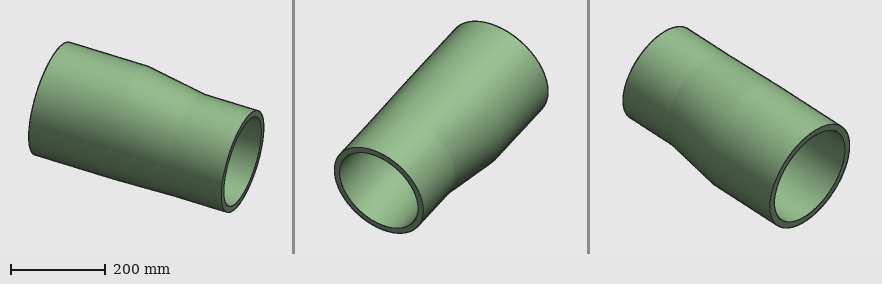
import cadquery as cq

total_length = 445.0
large_length = 182.0
taper_length = 139.0
small_length = total_length - large_length - taper_length

large_outer_diameter = 250.0
large_bore_diameter = 220.3
small_outer_diameter = 225.0
small_bore_diameter = 198.0

small_axis_y = -(large_outer_diameter - small_outer_diameter) / 2

taper_start = large_length
taper_end = large_length + taper_length


def circle_at(x, y, diameter):
    """Circle facing +X, centred at (x, y, 0)."""
    return cq.Workplane("YZ", origin=(x, y, 0)).circle(diameter / 2)


def reducer_body(large_diameter, small_diameter):
    """Solid of two offset cylinders joined by a slanted cone."""
    large_end = circle_at(0, 0, large_diameter).extrude(large_length)
    small_end = circle_at(taper_end, small_axis_y, small_diameter).extrude(small_length)
    taper = cq.Workplane(
        cq.Solid.makeLoft(
            [
                circle_at(taper_start, 0, large_diameter).wire().val(),
                circle_at(taper_end, small_axis_y, small_diameter).wire().val(),
            ],
            True,
        )
    )
    return large_end.union(taper).union(small_end)


outer_body = reducer_body(large_outer_diameter, small_outer_diameter)
bore = reducer_body(large_bore_diameter, small_bore_diameter)

result = outer_body.cut(bore)